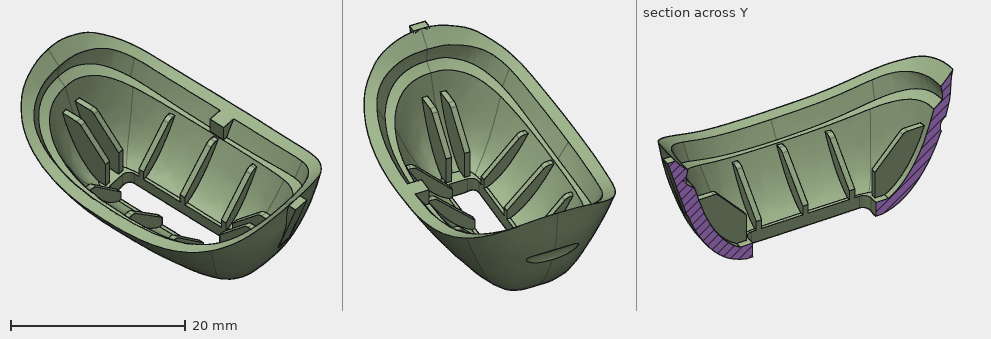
import cadquery as cq
import math

height = 17.0
half_length = 18.4
half_width = 23.3 / 2
rim_low_z = 10.4
keel_half_length = 8.35
length_power = 1.7
width_power = 0.49
oval_power = 2.35
keel_squareness = 3.0
squareness_decay = 6.0
keel_flat = 0.05
edge_spans = 4
trig_digits = 9
outer_seams = (0, 43, 90)
inner_seams = (0, 45, 90)
section_count = 10

rim_right = [(4.55, 10.55), (9.6, 11.4), (12.3, 12.43), (15.08, 13.9), (16.45, 14.9), (half_length, height)]
rim_run_out = (19.32, 18.2)
clearance = 22.75

cavity_root_z = 1.35
cavity_floor_z = 1.97
cavity_half_length = 16.35
cavity_keel_half_length = 7.58
cavity_half_width = 8.1
rebate_root_z = 2.15
rebate_half_length = 17.13
rebate_keel_half_length = 12.5
rebate_start_z = 3.05
rebate_half_width = 10.0
rebate_depth = 2.1
ledge_low_z = rim_low_z - rebate_depth

slot_length = 16.3
slot_width = 4.0
slot_corner = 1.0

rib_thickness = 0.72
rib_base_z = cavity_floor_z - 0.38
cross_rib_spacing = 6.18
cross_rib_foot_z = 3.2
cross_rib_corner = 7.0
cross_rib_top_z = 8.1
cross_rib_bend = 0.45
cross_rib_tail = [(8.35, 7.2), (3.8, rib_base_z)]
outer_rib_setback = 0.23
end_rib_offset = 1.17
end_rib_start = 8.53
end_rib_foot_z = 5.55
end_rib_corner = 12.45
end_rib_top_z = 9.8
end_rib_bend = 0.38
end_rib_tail = [(15.27, 9.47), (12.9, 2.65), (11.35, rib_base_z)]

block_width = 2.05
block_face_y = 8.2

tab_width = 2.0
tab_reach = 19.48
tab_root = (16.9, 8.83)
tab_depth = 0.6

groove_radius = 1.5
groove_x = -18.25
groove_z = 9.5


def rounded_trig(angle):
    return round(math.cos(angle), trig_digits), round(math.sin(angle), trig_digits)


def oval(z, half_x, half_y, power, seams):
    """Closed superellipse wire at height z, one smooth edge between each pair of seam angles."""

    def point(angle):
        c, s = rounded_trig(angle)
        x = math.copysign(half_x * abs(c) ** (2 / power), c)
        y = math.copysign(half_y * abs(s) ** (2 / power), s)
        return cq.Vector(x, y, z)

    def tangent(angle):
        c, s = rounded_trig(angle)
        flatness = 2 - 2 / power
        along_x = -math.copysign(abs(s) ** flatness * half_x, s)
        along_y = math.copysign(abs(c) ** flatness * half_y, c)
        return cq.Vector(along_x, along_y, 0)

    edges = []
    for quarter in range(4):
        mirrored = quarter % 2 == 1
        for first, last in zip(seams, seams[1:]):
            start = math.radians(90 * quarter + (90 - last if mirrored else first))
            stop = math.radians(90 * quarter + (90 - first if mirrored else last))
            points = [point(start + (stop - start) * i / edge_spans) for i in range(edge_spans + 1)]
            edges.append(cq.Edge.makeSpline(points, tangents=[tangent(start), tangent(stop)]))
    return cq.Wire.assembleEdges(edges)


def bowl(root_z, start_z, keel_x, end_x, side_y, side_z, seams):
    """Solid bowl that grows from a keel at root_z and is side_y wide (each side) at side_z."""
    wires = []
    for i in range(section_count):
        z = start_z + (height - start_z) * (i / (section_count - 1)) ** 2
        rise = max(z - root_z, keel_flat)
        level = rise / (height - root_z)
        half_x = keel_x + (end_x - keel_x) * math.sqrt(1 - max(1 - level, 0) ** length_power)
        half_y = side_y * (rise / (side_z - root_z)) ** width_power
        power = oval_power + keel_squareness * (1 - min(level, 1)) ** squareness_decay
        wires.append(oval(z, half_x, half_y, power, seams))
    return cq.Workplane(cq.Solid.makeLoft(wires))


def above_rim(drop):
    """Everything above the rim curve lowered by drop."""
    right = rim_right + [rim_run_out]
    left = [(-x, z) for x, z in reversed(right)]
    curve = [(x, z - drop) for x, z in left + [(0, rim_low_z)] + right]
    return (
        cq.Workplane("XZ")
        .moveTo(*curve[0])
        .spline(curve[1:], includeCurrent=True)
        .lineTo(curve[-1][0], 2 * clearance)
        .lineTo(curve[0][0], 2 * clearance)
        .close()
        .extrude(clearance, both=True)
    )


def rib(start, foot_z, corner, top_z, bend, tail):
    """Rib in the XZ plane: upright foot, rising edge, rounded bend, level top, hidden tail in the wall."""
    rise = math.atan2(top_z - foot_z, corner - start)
    return (
        cq.Workplane("XZ")
        .moveTo(start, rib_base_z)
        .lineTo(start, foot_z)
        .lineTo(corner - bend * math.cos(rise), top_z - bend * math.sin(rise))
        .tangentArcPoint((corner + bend, top_z), relative=False)
        .lineTo(tail[0][0], top_z)
        .polyline(tail, includeCurrent=True)
        .close()
        .extrude(rib_thickness / 2, both=True)
    )


body = bowl(0, 0, keel_half_length, half_length, half_width, rim_low_z, outer_seams).cut(above_rim(0))

block = cq.Workplane("XY").box(block_width, clearance, 2 * height, centered=(True, False, True))
block = block.translate((0, block_face_y, 0))
rebate = bowl(
    rebate_root_z, rebate_start_z, rebate_keel_half_length, rebate_half_length,
    rebate_half_width, rim_low_z, inner_seams,
)
body = body.cut(rebate.intersect(above_rim(rebate_depth)).cut(block))

cavity = bowl(
    cavity_root_z, cavity_floor_z, cavity_keel_half_length, cavity_half_length,
    cavity_half_width, ledge_low_z, inner_seams,
)
body = body.cut(cavity.cut(block))

ribs = []
for x in (-cross_rib_spacing, 0, cross_rib_spacing):
    corner = cross_rib_corner if x == 0 else cross_rib_corner - outer_rib_setback
    cross_rib = rib(slot_width / 2, cross_rib_foot_z, corner, cross_rib_top_z, cross_rib_bend, cross_rib_tail)
    for turn in (90, -90):
        ribs.append(cross_rib.rotate((0, 0, 0), (0, 0, 1), turn).translate((x, 0, 0)))
end_rib = rib(end_rib_start, end_rib_foot_z, end_rib_corner, end_rib_top_z, end_rib_bend, end_rib_tail)
for y in (-end_rib_offset, end_rib_offset):
    for turn in (0, 180):
        ribs.append(end_rib.rotate((0, 0, 0), (0, 0, 1), turn).translate((0, y, 0)))
for one_rib in ribs:
    body = body.union(one_rib)

slot = cq.Workplane("XY").box(slot_length, slot_width, 4 * cavity_floor_z).edges("|Z").fillet(slot_corner)
body = body.cut(slot)

tab = (
    cq.Workplane("XZ")
    .polyline([(half_length, height), (tab_reach, height), tab_root, (tab_root[0] - tab_depth, tab_root[1])])
    .close()
    .extrude(tab_width / 2, both=True)
)
body = body.union(tab)

groove = cq.Workplane("XZ", origin=(groove_x, 0, groove_z)).circle(groove_radius).extrude(half_width, both=True)
result = body.cut(groove)